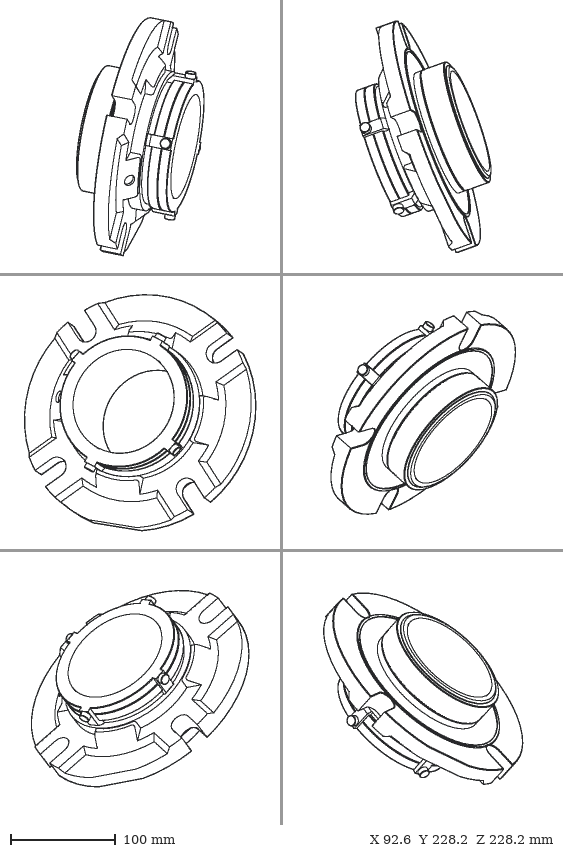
import cadquery as cq
import math


length = 92.6
bore_d = 101.5
nose_d = 114.3
nose_length = 2.5
nose_chamfer = 1.8
front_d = 122.5
sleeve_d = 122.0
front_chamfer = 0.7
groove_d = 119.3
groove_start = 26.0
groove_end = 27.2

flange_d = 228.2
flange_face = 33.8
rim_back = 48.8
pad_back = 54.3
face_chamfer = 0.7
raised_height = 1.0
raised_d = 171.2
raised_inner_d = 165.0
raised_chamfer = 0.7

slot_azimuths = [32.0 + 90.0 * i for i in range(4)]
slot_width = 19.6
slot_centre_r = 94.7
pad_base_width = 59.3
pad_top_width = 48.4
pad_inner_r = 75.3

hub_d = 135.8
hub_back = 66.6
slope_foot_r = 88.5
port_azimuths = [azimuth + 45.0 for azimuth in slot_azimuths]
port_width = 44.7
port_corner_r = 2.7
port_back = 65.7
short_port_azimuth = port_azimuths[0]
short_port_back = 62.3
drilled_port_azimuth = port_azimuths[1]
port_hole_d = 11.0
port_hole_x = 59.0
port_hole_depth = 2.7

flat_azimuth = port_azimuths[2]
flat_half_angle = 12.6

collar_d = 128.5
collar_start = 73.0
collar_chamfer = 0.7
collar_groove_x = 82.5
collar_groove_width = 1.0
collar_groove_depth = 0.7

clip_azimuths = [60.0, 135.0, 240.0, 315.0]
clip_width = 11.5
clip_top_r = 68.2
clip_bevel_length = 4.8
clip_bevel_drop = 6.0
screw_d = 10.0
screw_x = 87.5
screw_top_r = 73.3
screw_chamfer = 0.5

bore_r = bore_d / 2
flange_r = flange_d / 2
root_r = (bore_r + sleeve_d / 2) / 2


def ring(start, end, outer_r, inner_r):
    """Plain ring around the X axis."""
    return cq.Workplane("YZ", origin=(start, 0, 0)).circle(outer_r).circle(inner_r).extrude(end - start)


def turned(points):
    """Solid of revolution about X from (x, radius) points."""
    return cq.Workplane("XY").polyline(points).close().revolve(360, (0, 0, 0), (1, 0, 0))


def at_azimuth(body, azimuth):
    """Turn a body built along +Y to the given azimuth."""
    return body.rotate((0, 0, 0), (1, 0, 0), azimuth)


def make_sleeve():
    """Sleeve with the drive collar at its back end."""
    nose_r = nose_d / 2
    front_r = front_d / 2
    sleeve_r = sleeve_d / 2
    groove_r = groove_d / 2
    collar_r = collar_d / 2
    body = turned([
        (0, bore_r),
        (0, nose_r - nose_chamfer),
        (nose_chamfer, nose_r),
        (nose_length, nose_r),
        (nose_length, front_r - front_chamfer),
        (nose_length + front_chamfer, front_r),
        (groove_start, front_r),
        (groove_start, groove_r),
        (groove_end, groove_r),
        (groove_end, sleeve_r),
        (collar_start, sleeve_r),
        (collar_start, collar_r - collar_chamfer),
        (collar_start + collar_chamfer, collar_r),
        (length - collar_chamfer, collar_r),
        (length, collar_r - collar_chamfer),
        (length, bore_r),
    ])
    collar_groove_end = collar_groove_x + collar_groove_width
    return body.cut(ring(collar_groove_x, collar_groove_end, flange_r, collar_r - collar_groove_depth))


def make_pad():
    return (
        cq.Workplane("XZ", origin=(0, pad_inner_r, 0))
        .polyline([
            (flange_face, -pad_base_width / 2),
            (rim_back, -pad_base_width / 2),
            (pad_back, -pad_top_width / 2),
            (pad_back, pad_top_width / 2),
            (rim_back, pad_base_width / 2),
            (flange_face, pad_base_width / 2),
        ])
        .close()
        .extrude(pad_inner_r - flange_d)
    )


def make_slot():
    """Round-ended slot, open through the rim."""
    overall = flange_d
    middle = slot_centre_r - slot_width / 2 + overall / 2
    return cq.Workplane("YZ").center(middle, 0).slot2D(overall, slot_width).extrude(length)


def make_flange():
    flange = ring(flange_face, rim_back, flange_r, root_r)
    for azimuth in slot_azimuths:
        flange = flange.union(at_azimuth(make_pad(), azimuth))
    flange = flange.intersect(ring(flange_face, pad_back, flange_r, root_r))
    for azimuth in slot_azimuths:
        flange = flange.cut(at_azimuth(make_slot(), azimuth))
    flat_distance = flange_r * math.cos(math.radians(flat_half_angle))
    flat_cut = (
        cq.Workplane("XY")
        .box(length, flange_r, flange_d, centered=(False, False, True))
        .translate((0, flat_distance, 0))
    )
    flange = flange.cut(at_azimuth(flat_cut, flat_azimuth))
    flange = flange.faces("<X").chamfer(face_chamfer)
    raised_r = raised_d / 2
    raised_front = flange_face - raised_height
    raised_face = turned([
        (flange_face, raised_inner_d / 2),
        (raised_front, raised_inner_d / 2),
        (raised_front, raised_r - raised_chamfer),
        (raised_front + raised_chamfer, raised_r),
        (flange_face, raised_r),
    ])
    for azimuth in slot_azimuths:
        raised_face = raised_face.cut(at_azimuth(make_slot(), azimuth))
    return flange.union(raised_face)


def slope_r(x):
    """Radius of the 45-degree port slope at x."""
    return slope_foot_r - (x - rim_back)


def make_port_bar(back):
    """Round-cornered bar that keeps one port when the cone is trimmed."""
    return (
        cq.Workplane("XY")
        .box(back, flange_r, port_width, centered=(False, False, True))
        .edges(">X and |Y")
        .fillet(port_corner_r)
    )


def make_port_hole():
    """Blind hole square to the port slope."""
    slope_normal = (1, 1, 0)
    hole_plane = cq.Plane(
        origin=(port_hole_x, slope_r(port_hole_x), 0), xDir=(0, 0, 1), normal=slope_normal
    )
    return cq.Workplane(hole_plane).circle(port_hole_d / 2).extrude(port_hole_depth, both=True)


def make_hub():
    cone = turned([
        (rim_back, root_r),
        (rim_back, slope_r(rim_back)),
        (port_back, slope_r(port_back)),
        (port_back, root_r),
    ])
    kept = ring(rim_back, pad_back, flange_r, root_r).union(ring(rim_back, hub_back, hub_d / 2, root_r))
    for azimuth in port_azimuths:
        back = short_port_back if azimuth == short_port_azimuth else port_back
        kept = kept.union(at_azimuth(make_port_bar(back), azimuth))
    hub = cone.intersect(kept).union(ring(rim_back, hub_back, hub_d / 2, root_r))
    hub = hub.cut(at_azimuth(make_port_hole(), drilled_port_azimuth))
    for azimuth in slot_azimuths:
        hub = hub.cut(at_azimuth(make_slot(), azimuth))
    return hub


def make_clip():
    plate = (
        cq.Workplane("XY")
        .polyline([
            (hub_back, root_r),
            (hub_back, clip_top_r - clip_bevel_drop),
            (hub_back + clip_bevel_length, clip_top_r),
            (length, clip_top_r),
            (length, root_r),
        ])
        .close()
        .extrude(clip_width / 2, both=True)
    )
    screw = (
        cq.Workplane("XZ", origin=(screw_x, root_r, 0))
        .circle(screw_d / 2)
        .extrude(root_r - screw_top_r)
        .faces(">Y")
        .chamfer(screw_chamfer)
    )
    return plate.union(screw)


result = make_sleeve()
for clip_azimuth in clip_azimuths:
    result = result.union(at_azimuth(make_clip(), clip_azimuth))
result = result.union(make_flange())
result = result.union(make_hub(), clean=False)